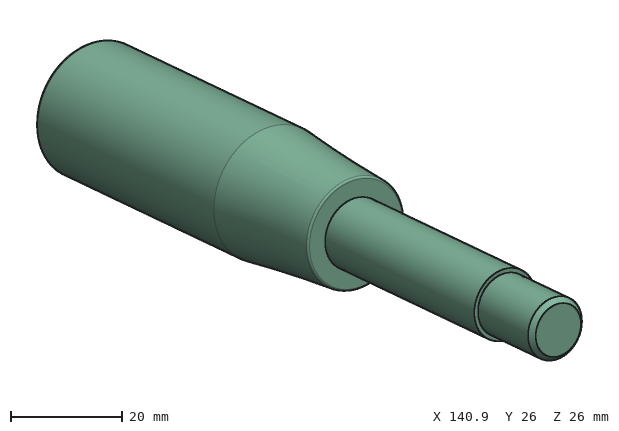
import cadquery as cq

total_length = 140.9
barrel_end = 54.5
grip_end = 79.9
spigot_length = 16.0
dome_height = 1.0

grip_diameter = 26.0
grip_radius = grip_diameter / 2
taper_end_radius = 10.8
shaft_radius = 6.9
spigot_radius = 6.0

grip_rim_fillet = 0.5
taper_rim_fillet = 0.4
spigot_chamfer = 1.0
taper_sag = 0.21

spigot_start = total_length - spigot_length


def make_grip():
    """Turned grip: shallow domed end, cylindrical barrel and slightly hollow taper."""
    dome_middle = (dome_height / 4, grip_radius / 2)
    taper_middle = (
        (barrel_end + grip_end) / 2,
        (grip_radius + taper_end_radius) / 2 - taper_sag,
    )
    grip = (
        cq.Workplane("XY")
        .moveTo(0, 0)
        .threePointArc(dome_middle, (dome_height, grip_radius))
        .lineTo(barrel_end, grip_radius)
        .threePointArc(taper_middle, (grip_end, taper_end_radius))
        .lineTo(grip_end, 0)
        .close()
        .revolve(360, (0, 0, 0), (1, 0, 0))
    )
    dome_rim = cq.selectors.NearestToPointSelector((dome_height, 0, 0))
    grip = grip.edges("%CIRCLE").edges(dome_rim).fillet(grip_rim_fillet)
    return grip.faces(">X").edges().fillet(taper_rim_fillet)


def make_shaft():
    """Plain shaft stepping down to a spigot with a chamfered tip."""
    shaft = (
        cq.Workplane("YZ")
        .workplane(offset=barrel_end)
        .circle(shaft_radius)
        .extrude(spigot_start - barrel_end)
    )
    spigot = (
        cq.Workplane("YZ")
        .workplane(offset=spigot_start)
        .circle(spigot_radius)
        .extrude(spigot_length)
        .faces(">X")
        .chamfer(spigot_chamfer)
    )
    return shaft.union(spigot)


result = make_grip().union(make_shaft())